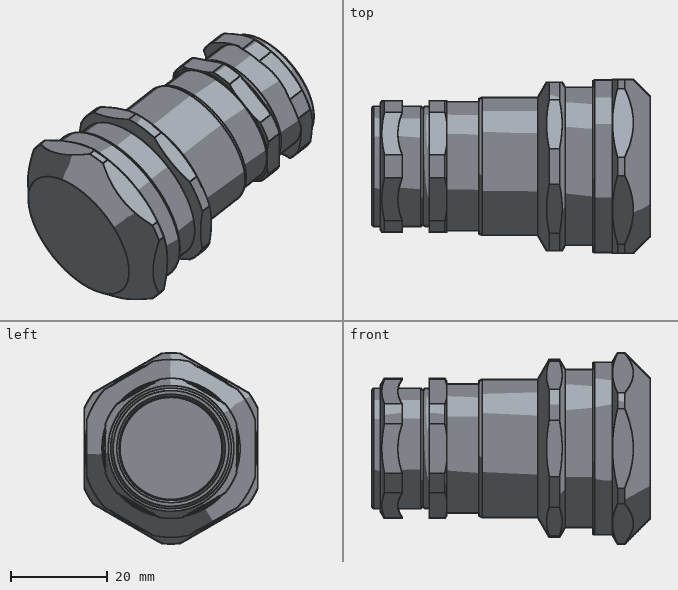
import cadquery as cq
import math


length = 57.7
chamfer_slope = math.tan(math.radians(60))

sleeve_radius = 25.0 / 2
mouth_chamfer_length = 0.4
mouth_chamfer_depth = 0.5
groove_start = 10.15
groove_depth = 0.5
lip_rounding = 0.7

small_flats = 27.2
small_corner_radius = 29.0 / 2
front_nut_start = 1.8
front_nut_radius = 26.0 / 2
front_nut_end = 6.35
collar_start = 11.9
collar_end = 15.5
collar_chamfer_length = 0.35

spigot_radius = 26.8 / 2
body_start = 22.2
body_end = 34.4
body_radius = 28.6 / 2
body_chamfer_radius = 28.0 / 2
body_chamfer_length = 0.7

neck_radius = 32.8 / 2
middle_flats = 34.9
middle_corner_radius = 36.8 / 2
middle_land_end = 38.9
middle_land_start = body_end + (middle_corner_radius - body_radius) / chamfer_slope
middle_end = middle_land_end + (middle_corner_radius - neck_radius) / chamfer_slope

band_start = 45.8
band_end = 49.8
band_radius = 35.8 / 2
band_front_radius = 35.5 / 2
band_chamfer_length = 0.35

cap_flats = 36.0
cap_corner_radius = 39.6 / 2
cap_end_radius = 14.5

bore_radius = 21.5 / 2
bore_mouth_chamfer = 0.45
bore_depth = 10.75
floor_depth = 11.65
floor_radius = 10.55


def turned(points):
    """Solid of revolution about X from (x, radius) points, closed along the axis."""
    outline = [(points[0][0], 0), *points, (points[-1][0], 0)]
    return cq.Workplane("XY").polyline(outline).close().revolve(360, (0, 0, 0), (1, 0, 0))


def hexagon(points, flats):
    """Turned ring trimmed to a hexagon of the given width across flats."""
    start = points[0][0]
    end = points[-1][0]
    across_corners = flats / math.cos(math.radians(30))
    prism = (
        cq.Workplane("YZ", origin=(start, 0, 0))
        .polygon(6, across_corners)
        .extrude(end - start)
        .rotate((0, 0, 0), (1, 0, 0), 90)
    )
    return turned(points).intersect(prism)


def sleeve():
    """Sleeve with a V-groove whose far lip is rounded over, ending at the fixed collar."""
    groove_bottom = groove_start + groove_depth
    groove_radius = sleeve_radius - groove_depth
    arc_center_radius = sleeve_radius - lip_rounding
    crest_x = groove_bottom + math.sqrt(lip_rounding**2 - (groove_radius - arc_center_radius) ** 2)
    lip_end_radius = arc_center_radius + math.sqrt(lip_rounding**2 - (collar_start - crest_x) ** 2)
    return (
        cq.Workplane("XY")
        .moveTo(0, 0)
        .lineTo(0, sleeve_radius - mouth_chamfer_depth)
        .lineTo(mouth_chamfer_length, sleeve_radius)
        .lineTo(groove_start, sleeve_radius)
        .lineTo(groove_bottom, groove_radius)
        .threePointArc((crest_x, sleeve_radius), (collar_start, lip_end_radius))
        .lineTo(collar_start, 0)
        .close()
        .revolve(360, (0, 0, 0), (1, 0, 0))
    )


def front_nut():
    """Chamfered small hexagon; its rear is dished by a 45 degree cone down to the sleeve."""
    land_start = front_nut_start + (small_corner_radius - front_nut_radius) / chamfer_slope
    dish_bottom = front_nut_end - (small_corner_radius - sleeve_radius)
    nut = hexagon(
        [
            (front_nut_start, front_nut_radius),
            (land_start, small_corner_radius),
            (front_nut_end, small_corner_radius),
        ],
        small_flats,
    )
    dish = turned([(dish_bottom, sleeve_radius), (front_nut_end, small_corner_radius)])
    return nut.cut(dish)


def collar():
    """Small hexagon fixed to the body, chamfered on its rear side only."""
    rear_radius = small_corner_radius - collar_chamfer_length * chamfer_slope
    return hexagon(
        [
            (collar_start, small_corner_radius),
            (collar_end - collar_chamfer_length, small_corner_radius),
            (collar_end, rear_radius),
        ],
        small_flats,
    )


def round_body():
    """Spigot and main cylinder with a chamfered front shoulder."""
    return turned(
        [
            (collar_end, spigot_radius),
            (body_start, spigot_radius),
            (body_start, body_chamfer_radius),
            (body_start + body_chamfer_length, body_radius),
            (body_end, body_radius),
        ]
    )


def middle_hexagon():
    """Hexagon flaring out of the main cylinder and back down to the neck."""
    return hexagon(
        [
            (body_end, body_radius),
            (middle_land_start, middle_corner_radius),
            (middle_land_end, middle_corner_radius),
            (middle_end, neck_radius),
        ],
        middle_flats,
    )


def neck_and_band():
    """Neck followed by the wider band with a chamfered front edge."""
    return turned(
        [
            (middle_end, neck_radius),
            (band_start, neck_radius),
            (band_start, band_front_radius),
            (band_start + band_chamfer_length, band_radius),
            (band_end, band_radius),
        ]
    )


def cap():
    """Large hexagon with a 60 degree front chamfer and a 45 degree rear cone."""
    land_start = band_end + (cap_corner_radius - band_radius) / chamfer_slope
    land_end = length - (cap_corner_radius - cap_end_radius)
    return hexagon(
        [
            (band_end, band_radius),
            (land_start, cap_corner_radius),
            (land_end, cap_corner_radius),
            (length, cap_end_radius),
        ],
        cap_flats,
    )


def bore():
    """Blind bore with a chamfered mouth and a slight taper down to its flat floor."""
    return turned(
        [
            (0, bore_radius + bore_mouth_chamfer),
            (bore_mouth_chamfer, bore_radius),
            (bore_depth, bore_radius),
            (floor_depth, floor_radius),
        ]
    )


outside = sleeve()
for section in (front_nut, collar, round_body, middle_hexagon, neck_and_band, cap):
    outside = outside.union(section())

result = outside.cut(bore())